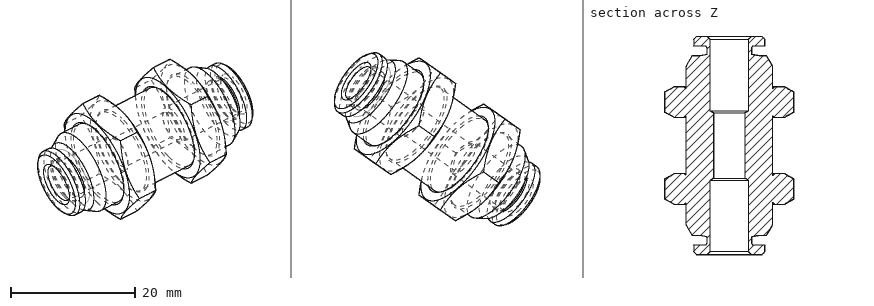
import cadquery as cq
import math


overall_length = 35.2
half_length = overall_length / 2
nut_inner_y = 4.5
nut_thickness = 5.0
body_end_y = 14.5
collar_thickness = 1.6

body_radius = 14.0 / 2
body_bevel = 1.0
body_bevel_angle = math.radians(30)
body_bevel_length = body_bevel / math.tan(body_bevel_angle)
end_cone_radius = 4.8
end_cone_height = 0.2

neck_radius = 7.3 / 2
collar_radius = 11.5 / 2
collar_chamfer = 0.5
neck_flare_length = 0.2
neck_flare = 0.15

bore_radius = 5.0 / 2
socket_radius = 6.15 / 2
mouth_chamfer = 0.5
socket_depth = 12.0
socket_floor_angle = math.radians(60)

across_flats = 18.0
across_corners = across_flats / math.cos(math.radians(30))
nut_face_radius = 8.9
nut_bevel_angle = math.radians(30)
nut_countersink = 0.3


def revolve_about_y(points):
    """Solid of revolution about Y from (radius, y) points."""
    return cq.Workplane("XY").polyline(points).close().revolve(360, (0, 0, 0), (0, 1, 0))


def revolve_symmetric(half_outline):
    """Solid of revolution from a half outline at +Y, repeated mirrored at -Y."""
    mirrored = [(radius, -y) for radius, y in reversed(half_outline)]
    return revolve_about_y(mirrored + half_outline)


def body():
    """Body with an end cone, neck and collar at each end, as one solid round part."""
    collar_back_y = half_length - collar_thickness
    return revolve_symmetric([
        (body_radius, body_end_y - body_bevel_length),
        (body_radius - body_bevel, body_end_y),
        (end_cone_radius, body_end_y),
        (neck_radius, body_end_y + end_cone_height),
        (neck_radius, collar_back_y - neck_flare_length),
        (neck_radius + neck_flare, collar_back_y),
        (collar_radius, collar_back_y),
        (collar_radius, half_length - collar_chamfer),
        (collar_radius - collar_chamfer, half_length),
        (0, half_length),
    ])


def bore():
    """Through bore with a tube socket and chamfered mouth at each end."""
    floor_y = half_length - socket_depth
    floor_taper_length = (socket_radius - bore_radius) / math.tan(socket_floor_angle)
    return revolve_symmetric([
        (bore_radius, floor_y - floor_taper_length),
        (socket_radius, floor_y),
        (socket_radius, half_length - mouth_chamfer),
        (socket_radius + mouth_chamfer, half_length),
        (0, half_length),
    ])


def nut():
    """Hex nut on the +Y side, flats facing up and down, corners bevelled on both faces."""
    outer_y = nut_inner_y + nut_thickness
    corner_radius = across_corners / 2
    bevel_drop = (corner_radius - nut_face_radius) * math.tan(nut_bevel_angle)
    hexagon = (
        cq.Workplane("XZ", origin=(0, outer_y, 0))
        .polygon(6, across_corners)
        .extrude(nut_thickness)
    )
    envelope = revolve_about_y([
        (0, nut_inner_y + nut_countersink),
        (body_radius, nut_inner_y + nut_countersink),
        (body_radius + nut_countersink, nut_inner_y),
        (nut_face_radius, nut_inner_y),
        (corner_radius, nut_inner_y + bevel_drop),
        (corner_radius, outer_y - bevel_drop),
        (nut_face_radius, outer_y),
        (body_radius + nut_countersink, outer_y),
        (body_radius, outer_y - nut_countersink),
        (0, outer_y - nut_countersink),
    ])
    return hexagon.intersect(envelope)


plus_y_nut = nut()
minus_y_nut = plus_y_nut.mirror("XZ")
result = body().union(plus_y_nut).union(minus_y_nut).cut(bore())